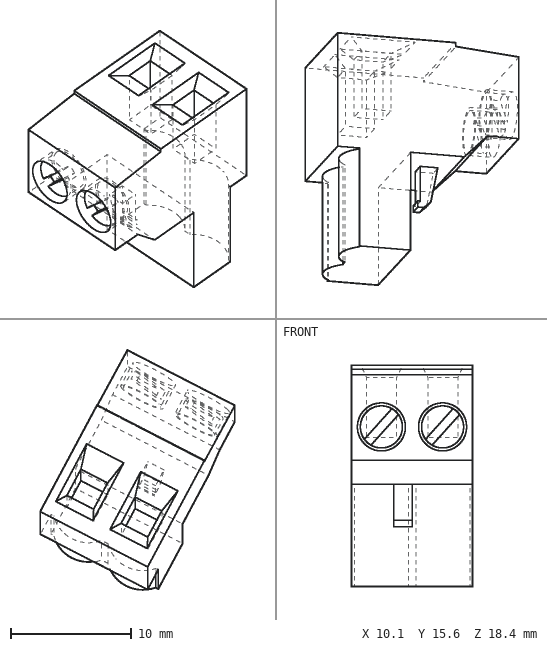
import cadquery as cq

WIDTH = 10.08
DEPTH = 15.6
HEIGHT = 18.4
POLE_PITCH = 5.08
POLE_CENTRES = [-POLE_PITCH / 2, POLE_PITCH / 2]

HEAD_BOTTOM = 8.52
ROOF_STEP_Y = 5.43
ROOF_STEP_DROP = 0.33
ROOF_FRONT_DROP = 0.8
NOSE_BOTTOM = 10.49
NOSE_LENGTH = 2.69
NOSE_RAMP_LENGTH = 2.0

FOOT_FRONT_Y = 9.33
FOOT_BACK_Y = 13.69
RIB_HEIGHT = 1.01
RIB_WIDTH = 4.49

HOOK_WIDTH = 1.5
HOOK_RIGHT_X = 0.0
HOOK_FRONT_Y = 6.0
HOOK_BACK_Y = 7.5
HOOK_NECK_FRONT_Y = 6.59
HOOK_TIP_FRONT_Y = 7.18
BARB_REACH = 0.2
BARB_TOP = 5.5
BARB_BOTTOM = 4.97

ENTRY_WIDTH = 3.48
ENTRY_FRONT_Y = 8.74
ENTRY_BACK_Y = 14.25
SHAFT_SIDE = 2.5
SHAFT_CENTRE_Y = 11.95
FUNNEL_DEPTH = 1.0
SHAFT_DEPTH = 5.0

SCREW_Z = 13.27
SCREW_DIAMETER = 3.5
SCREW_HOLE_DIAMETER = 4.0
SCREW_HOLE_DEPTH = 2.2
SCREW_RECESS = 0.7
SLOT_WIDTH = 0.74
SLOT_DEPTH = 0.74
SLOT_ANGLE = 48.0


def side_profile_solid(points, width, centre_x):
    """Extrude a closed (Y, Z) outline across X, centred on centre_x."""
    return cq.Workplane("YZ", origin=(centre_x, 0, 0)).polyline(points).close().extrude(width / 2, both=True)


def make_head():
    outline = [
        (0, NOSE_BOTTOM),
        (0, HEIGHT - ROOF_FRONT_DROP),
        (ROOF_STEP_Y, HEIGHT - ROOF_STEP_DROP),
        (ROOF_STEP_Y, HEIGHT),
        (DEPTH, HEIGHT),
        (DEPTH, HEAD_BOTTOM),
        (NOSE_LENGTH + NOSE_RAMP_LENGTH, HEAD_BOTTOM),
        (NOSE_LENGTH, NOSE_BOTTOM),
    ]
    return side_profile_solid(outline, WIDTH, 0)


def make_foot():
    foot_depth = FOOT_BACK_Y - FOOT_FRONT_Y
    foot = cq.Workplane("XY").box(WIDTH, foot_depth, HEAD_BOTTOM, centered=(True, False, False))
    return foot.translate((0, FOOT_FRONT_Y, 0))


def make_rib(pole_x):
    """Shallow round rib that bulges out of the back of the foot over its full height."""
    return (
        cq.Workplane("XY", origin=(pole_x, FOOT_BACK_Y, 0))
        .moveTo(-RIB_WIDTH / 2, 0)
        .threePointArc((0, RIB_HEIGHT), (RIB_WIDTH / 2, 0))
        .close()
        .extrude(HEAD_BOTTOM)
    )


def make_hook():
    outline = [
        (HOOK_FRONT_Y, HEAD_BOTTOM),
        (HOOK_NECK_FRONT_Y, BARB_TOP),
        (HOOK_TIP_FRONT_Y, BARB_BOTTOM),
        (HOOK_BACK_Y + BARB_REACH, BARB_BOTTOM),
        (HOOK_BACK_Y + BARB_REACH, BARB_TOP),
        (HOOK_BACK_Y, BARB_TOP),
        (HOOK_BACK_Y, HEAD_BOTTOM),
    ]
    return side_profile_solid(outline, HOOK_WIDTH, HOOK_RIGHT_X - HOOK_WIDTH / 2)


def make_wire_entry(pole_x):
    """Tapered funnel that leads down into a square shaft."""
    entry_depth = ENTRY_BACK_Y - ENTRY_FRONT_Y
    entry_centre_y = (ENTRY_FRONT_Y + ENTRY_BACK_Y) / 2
    funnel = (
        cq.Workplane("XY", origin=(pole_x, entry_centre_y, HEIGHT))
        .rect(ENTRY_WIDTH, entry_depth)
        .workplane(offset=-FUNNEL_DEPTH)
        .center(0, SHAFT_CENTRE_Y - entry_centre_y)
        .rect(SHAFT_SIDE, SHAFT_SIDE)
        .loft(ruled=True)
    )
    shaft = (
        cq.Workplane("XY", origin=(pole_x, SHAFT_CENTRE_Y, HEIGHT - FUNNEL_DEPTH))
        .rect(SHAFT_SIDE, SHAFT_SIDE)
        .extrude(-SHAFT_DEPTH)
    )
    return funnel.union(shaft)


def make_cylinder_along_y(pole_x, diameter, front_y, back_y):
    workplane = cq.Workplane("XZ", origin=(pole_x, front_y, SCREW_Z))
    return workplane.circle(diameter / 2).extrude(front_y - back_y)


def make_housing():
    housing = make_head().union(make_foot()).union(make_hook())
    for pole_x in POLE_CENTRES:
        screw_hole = make_cylinder_along_y(pole_x, SCREW_HOLE_DIAMETER, 0, SCREW_HOLE_DEPTH)
        housing = housing.union(make_rib(pole_x)).cut(make_wire_entry(pole_x)).cut(screw_hole)
    return housing


def make_screw(pole_x):
    """Slotted screw, resting on the floor of its hole with its face below the housing front."""
    screw = make_cylinder_along_y(pole_x, SCREW_DIAMETER, SCREW_RECESS, SCREW_HOLE_DEPTH)
    slot = (
        cq.Workplane("XZ", origin=(pole_x, SCREW_RECESS, SCREW_Z))
        .transformed(rotate=(0, 0, SLOT_ANGLE))
        .rect(SCREW_HOLE_DIAMETER, SLOT_WIDTH)
        .extrude(-SLOT_DEPTH)
    )
    return screw.cut(slot)


housing = make_housing()
screws = [make_screw(pole_x) for pole_x in POLE_CENTRES]

result = cq.Compound.makeCompound([housing.val(), *[screw.val() for screw in screws]])